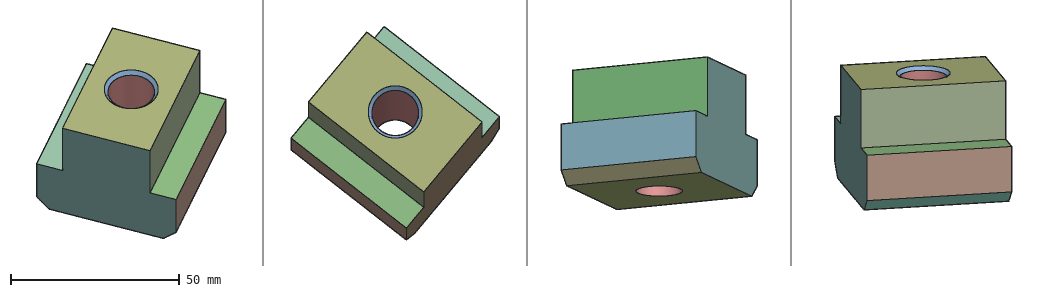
import cadquery as cq

width = 44.0
length = 44.0
height = 36.0

stem_width = 27.6
base_height = height / 2
base_chamfer = 4.0

hole_diameter = 13.8
mouth_diameter = 16.0
mouth_depth = (mouth_diameter - hole_diameter) / 2


def make_body():
    """T-shaped block with chamfered lower long edges."""
    base = (
        cq.Workplane("XY")
        .box(width, length, base_height, centered=(True, True, False))
        .faces("<Z")
        .edges("|Y")
        .chamfer(base_chamfer)
    )
    stem = cq.Workplane("XY").box(stem_width, length, height, centered=(True, True, False))
    return base.union(stem)


def drill_hole(body):
    """Cut the through hole and chamfer its mouth on the top face."""
    drilled = body.faces(">Z").workplane(origin=(0, 0, height)).hole(hole_diameter)
    return drilled.faces(">Z").edges("%CIRCLE").chamfer(mouth_depth)


result = drill_hole(make_body())